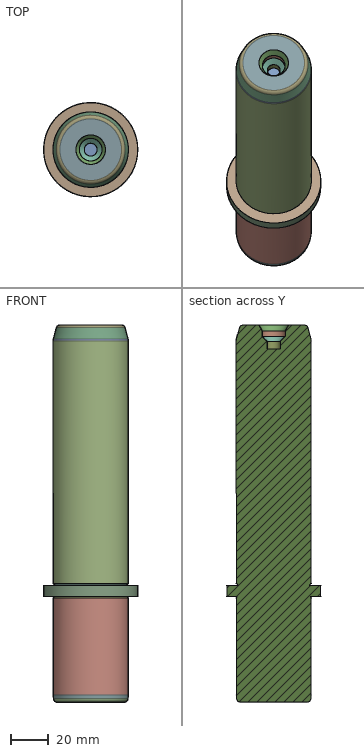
import cadquery as cq
import math

length = 200.0
shaft_radius = 20.0

flange_radius = 25.0
flange_bottom = 56.0
flange_top = 62.0
upper_undercut = 1.0
lower_undercut = 0.5

lead_length = 8.0
lead_angle = math.radians(15)
lead_top_radius = shaft_radius - lead_length * math.tan(lead_angle)
lead_top_fillet = 2.0
lead_base_fillet = 4.0

foot_length = 4.0
foot_radius = 19.5
foot_fillet = 2.2

countersink_radius = 7.8
bore_radius = 6.0
pilot_radius = 3.5
bore_depth = 3.0
pilot_depth = 4.0
countersink_half_angle = math.radians(30)
cone_half_angle = math.radians(45)


def shaft():
    """Revolve the stepped outline about Z."""
    outline = (
        cq.Workplane("XZ")
        .moveTo(0, 0)
        .lineTo(foot_radius, 0)
        .lineTo(shaft_radius, foot_length)
        .lineTo(shaft_radius, flange_bottom - lower_undercut)
        .lineTo(shaft_radius - lower_undercut, flange_bottom)
        .lineTo(flange_radius, flange_bottom)
        .lineTo(flange_radius, flange_top)
        .lineTo(shaft_radius - upper_undercut, flange_top)
        .lineTo(shaft_radius, flange_top + upper_undercut)
        .lineTo(shaft_radius, length - lead_length)
        .lineTo(lead_top_radius, length)
        .lineTo(0, length)
        .close()
    )
    return outline.revolve(360, (0, 0), (0, 1))


def edge_at(height):
    """Select the circular edges lying at one height."""
    margin = 0.02
    reach = 2 * flange_radius
    return cq.selectors.BoxSelector(
        (-reach, -reach, height - margin), (reach, reach, height + margin)
    )


def centre_hole():
    """Solid to cut from the top face for the centre hole."""
    bore_top = length - (countersink_radius - bore_radius) / math.tan(countersink_half_angle)
    cone_top = bore_top - bore_depth
    pilot_top = cone_top - (bore_radius - pilot_radius) / math.tan(cone_half_angle)
    pilot_bottom = pilot_top - pilot_depth
    outline = (
        cq.Workplane("XZ")
        .moveTo(0, length)
        .lineTo(countersink_radius, length)
        .lineTo(bore_radius, bore_top)
        .lineTo(bore_radius, cone_top)
        .lineTo(pilot_radius, pilot_top)
        .lineTo(pilot_radius, pilot_bottom)
        .lineTo(0, pilot_bottom)
        .close()
    )
    return outline.revolve(360, (0, 0), (0, 1))


body = shaft()
body = body.edges(edge_at(length - lead_length)).fillet(lead_base_fillet)
body = body.edges(">Z").fillet(lead_top_fillet)
body = body.edges("<Z").fillet(foot_fillet)

result = body.cut(centre_hole())